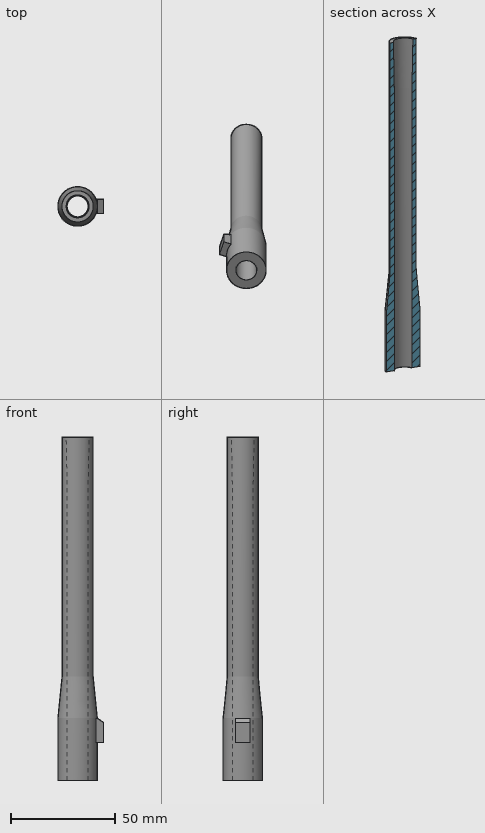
import cadquery as cq

total_length = 165.0
socket_diameter = 19.0
tube_diameter = 15.0
socket_length = 30.0
taper_length = 20.0

bore_diameter = 10.0
mouth_diameter = 11.0
flare_length = 25.0

lug_reach = 12.5
lug_width = 7.0
lug_bottom = 18.3
lug_top_drop = 2.0

socket_radius = socket_diameter / 2
tube_radius = tube_diameter / 2
bore_radius = bore_diameter / 2
mouth_radius = mouth_diameter / 2
taper_top = socket_length + taper_length
flare_start = total_length - flare_length
lug_shoulder = socket_length - lug_top_drop
lug_root = (socket_radius + bore_radius) / 2


def revolve_about_z(profile):
    """Turn a closed XZ profile into a full solid of revolution about Z."""
    return profile.revolve(360, (0, 0, 0), (0, 1, 0))


def make_body():
    """Solid outer shape: socket, taper and tube."""
    profile = (
        cq.Workplane("XZ")
        .lineTo(socket_radius, 0)
        .lineTo(socket_radius, socket_length)
        .lineTo(tube_radius, taper_top)
        .lineTo(tube_radius, total_length)
        .lineTo(0, total_length)
        .close()
    )
    return revolve_about_z(profile)


def make_lug():
    """Flat lug whose top slopes down from the socket rim to its outer face."""
    return (
        cq.Workplane("XZ")
        .moveTo(lug_root, lug_bottom)
        .lineTo(lug_reach, lug_bottom)
        .lineTo(lug_reach, lug_shoulder)
        .lineTo(socket_radius, socket_length)
        .lineTo(lug_root, socket_length)
        .close()
        .extrude(lug_width / 2, both=True)
    )


def make_bore():
    """Straight bore that widens conically to the mouth of the tube."""
    profile = (
        cq.Workplane("XZ")
        .lineTo(bore_radius, 0)
        .lineTo(bore_radius, flare_start)
        .lineTo(mouth_radius, total_length)
        .lineTo(0, total_length)
        .close()
    )
    return revolve_about_z(profile)


result = make_body().union(make_lug()).cut(make_bore())